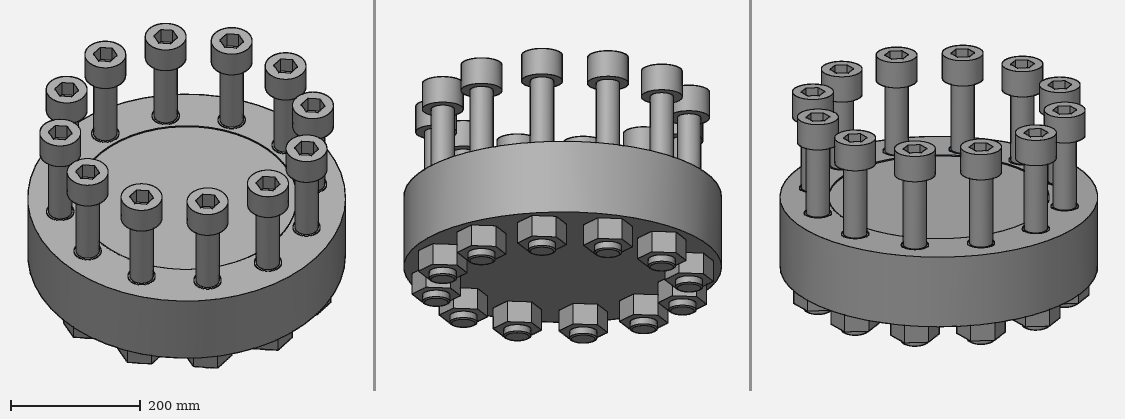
import cadquery as cq
import math

FLANGE_DIAMETER = 490.0
FLANGE_HEIGHT = 116.0
RECESS_DIAMETER = 340.0
RECESS_DEPTH = 2.0

BOLT_COUNT = 12
BOLT_CIRCLE_DIAMETER = 395.0
BOLT_PITCH_ANGLE = 360.0 / BOLT_COUNT

HEAD_DIAMETER = 63.0
HEAD_HEIGHT = 42.0
SOCKET_ACROSS_FLATS = 32.0
SOCKET_DEPTH = 24.5
SHANK_DIAMETER = 36.5
SHANK_EXPOSED_LENGTH = 117.5
THREAD_DIAMETER = 42.0
TIP_LENGTH = 12.2
THREAD_CHAMFER_HEIGHT = 1.7

NUT_ACROSS_FLATS = 65.0
NUT_HEIGHT = 34.0

HEAD_BOTTOM = FLANGE_HEIGHT + SHANK_EXPOSED_LENGTH
HEAD_TOP = HEAD_BOTTOM + HEAD_HEIGHT
NUT_BOTTOM = -NUT_HEIGHT
TIP_BOTTOM = NUT_BOTTOM - TIP_LENGTH


def cylinder(diameter, bottom, top):
    """Upright cylinder on the Z axis between two levels."""
    return cq.Workplane("XY").workplane(offset=bottom).circle(diameter / 2).extrude(top - bottom)


def hex_prism(across_flats, bottom, top):
    """Upright hexagonal prism on the Z axis with two corners pointing along Y."""
    across_corners = across_flats / math.cos(math.pi / 6)
    prism = cq.Workplane("XY").workplane(offset=bottom).polygon(6, across_corners).extrude(top - bottom)
    return prism.rotate((0, 0, 0), (0, 0, 1), 90)


def make_flange():
    """Solid disc with a shallow round recess in its top face."""
    disc = cylinder(FLANGE_DIAMETER, 0, FLANGE_HEIGHT)
    recess = cylinder(RECESS_DIAMETER, FLANGE_HEIGHT - RECESS_DEPTH, FLANGE_HEIGHT)
    return disc.cut(recess)


def make_threaded_end():
    """Cylinder from the flange top down to the tip, tapered to the shank diameter at both ends."""
    thread_radius = THREAD_DIAMETER / 2
    shank_radius = SHANK_DIAMETER / 2
    profile = [
        (0, TIP_BOTTOM),
        (shank_radius, TIP_BOTTOM),
        (thread_radius, TIP_BOTTOM + THREAD_CHAMFER_HEIGHT),
        (thread_radius, FLANGE_HEIGHT - THREAD_CHAMFER_HEIGHT),
        (shank_radius, FLANGE_HEIGHT),
        (0, FLANGE_HEIGHT),
    ]
    return cq.Workplane("XZ").polyline(profile).close().revolve(360, (0, 0, 0), (0, 1, 0))


def make_bolt():
    """Socket-head bolt with a reduced shank, a thicker threaded end and its nut."""
    head = cylinder(HEAD_DIAMETER, HEAD_BOTTOM, HEAD_TOP)
    socket = hex_prism(SOCKET_ACROSS_FLATS, HEAD_TOP - SOCKET_DEPTH, HEAD_TOP)
    shank = cylinder(SHANK_DIAMETER, FLANGE_HEIGHT, HEAD_BOTTOM)
    nut = hex_prism(NUT_ACROSS_FLATS, NUT_BOTTOM, 0)
    return head.cut(socket).union(shank).union(make_threaded_end()).union(nut)


bolt = make_bolt()
bolt_hole = cylinder(THREAD_DIAMETER, 0, FLANGE_HEIGHT)

result = make_flange()
for index in range(BOLT_COUNT):
    angle = math.radians((index + 0.5) * BOLT_PITCH_ANGLE)
    x = BOLT_CIRCLE_DIAMETER / 2 * math.cos(angle)
    y = BOLT_CIRCLE_DIAMETER / 2 * math.sin(angle)
    result = result.cut(bolt_hole.translate((x, y, 0))).union(bolt.translate((x, y, 0)))